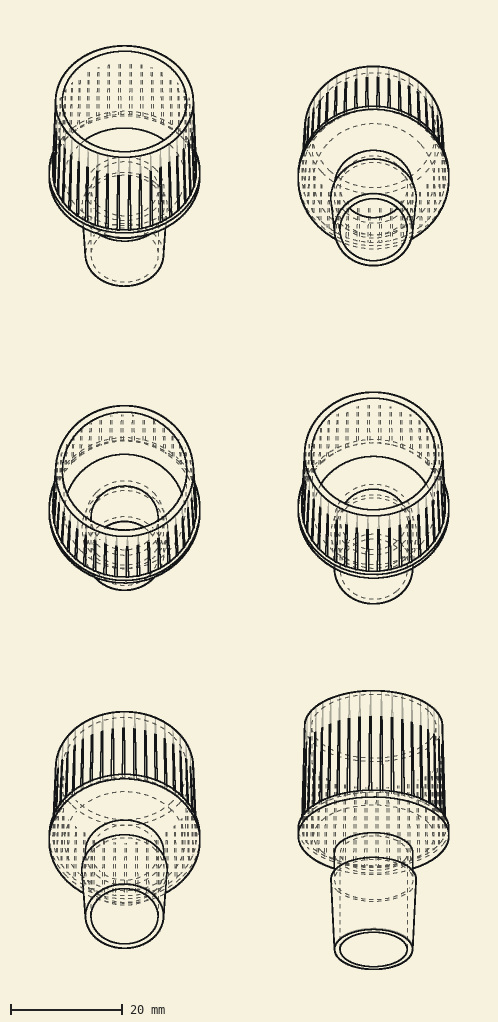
import cadquery as cq

total_height = 46.6
spigot_top = 14.65
neck_top = 20.15
flange_bottom = 23.7
flange_top = 25.15
end_chamfer_height = 0.3

spigot_tip_diameter = 14
spigot_end_diameter = 14.05
spigot_top_diameter = 15.3
neck_diameter = 14.05
flange_diameter = 27.05
grip_bottom_diameter = 25.68
grip_top_diameter = 24.7

bore_diameter = 12.0
socket_floor_diameter = 21.58
socket_mouth_diameter = 22.27

rib_count = 40
rib_radius = 0.4
rib_tip_diameter = 25.8


def revolve_outline(outline):
    """Revolve a closed (radius, height) outline about the Z axis."""
    return cq.Workplane("XZ").polyline(outline).close().revolve(360, (0, 0), (0, 1))


def make_body():
    """Build the tapered spigot, neck, cone, flange and tapered grip as one solid."""
    return revolve_outline([
        (0, 0),
        (spigot_tip_diameter / 2, 0),
        (spigot_end_diameter / 2, end_chamfer_height),
        (spigot_top_diameter / 2, spigot_top),
        (neck_diameter / 2, spigot_top),
        (neck_diameter / 2, neck_top),
        (flange_diameter / 2, flange_bottom),
        (flange_diameter / 2, flange_top),
        (grip_bottom_diameter / 2, flange_top),
        (grip_top_diameter / 2, total_height),
        (0, total_height),
    ])


def make_passage():
    """Build the straight bore, the funnel level with the outer cone, and the tapered socket."""
    return revolve_outline([
        (0, 0),
        (bore_diameter / 2, 0),
        (bore_diameter / 2, neck_top),
        (socket_floor_diameter / 2, flange_bottom),
        (socket_mouth_diameter / 2, total_height),
        (0, total_height),
    ])


def make_ribs():
    """Build the ring of ribs, each leaning outwards towards the flange."""
    bottom_offset = rib_tip_diameter / 2 - rib_radius
    top_offset = grip_top_diameter / 2 - rib_radius
    rib = (
        cq.Workplane("XY", origin=(0, 0, flange_top))
        .center(-bottom_offset, 0)
        .circle(rib_radius)
        .workplane(offset=total_height - flange_top)
        .center(bottom_offset - top_offset, 0)
        .circle(rib_radius)
        .loft(ruled=True)
        .val()
    )
    axis_start = cq.Vector(0, 0, 0)
    axis_end = cq.Vector(0, 0, 1)
    rib_pitch = 360 / rib_count
    ribs = [rib.rotate(axis_start, axis_end, index * rib_pitch) for index in range(rib_count)]
    return cq.Workplane(cq.Compound.makeCompound(ribs))


result = make_body().union(make_ribs()).cut(make_passage())